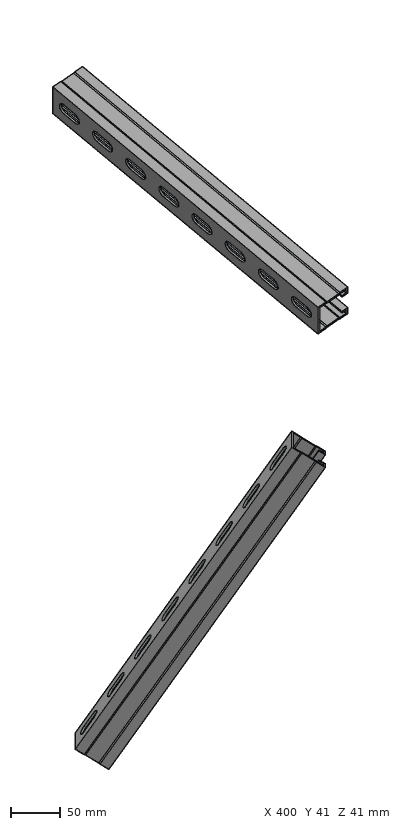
import cadquery as cq

length = 400.0
depth = 41.0
height = 41.0

wall = 2.5
mouth = 22.0
lip_return = 8.0
groove_sink = 0.7
groove_width = 19.0
bevel_run = 1.5

slot_count = 8
slot_pitch = length / slot_count
slot_length = 30.0
slot_width = 13.5

web_y = -depth / 2
mouth_y = depth / 2
top_z = height / 2
lip_z = mouth / 2
band_outer = groove_width / 2
band_inner = band_outer - bevel_run


def flange_line(z):
    """Flange surface from web to mouth, sunk towards the middle along the band."""
    return [
        (-band_outer, z),
        (-band_inner, z - groove_sink),
        (band_inner, z - groove_sink),
        (band_outer, z),
    ]


def make_channel():
    """Extrude the C section, drawn as its upper half and a mirrored lower half."""
    inner_z = top_z - wall
    inner_mouth_y = mouth_y - wall
    lip_end_y = mouth_y - lip_return
    outside = [(web_y, top_z), *flange_line(top_z), (mouth_y, top_z)]
    lip = [
        (mouth_y, lip_z),
        (lip_end_y, lip_z),
        (lip_end_y, lip_z + wall),
        (inner_mouth_y, lip_z + wall),
    ]
    inside = [
        (inner_mouth_y, inner_z),
        *reversed(flange_line(inner_z)),
        (web_y + wall, inner_z),
    ]
    upper = outside + lip + inside
    lower = [(y, -z) for y, z in reversed(upper)]
    return (
        cq.Workplane("YZ")
        .polyline(upper + lower)
        .close()
        .extrude(length / 2, both=True)
    )


def make_slots():
    """Row of round-ended slots through the web only."""
    return (
        cq.Workplane("XZ", origin=(0, web_y + wall, 0))
        .rarray(slot_pitch, 4, slot_count, 1)
        .slot2D(slot_length, slot_width)
        .extrude(wall)
    )


result = make_channel().cut(make_slots())